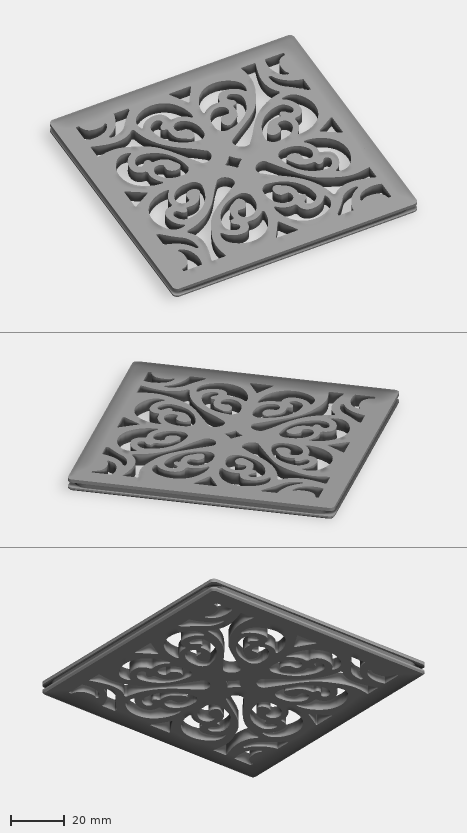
import cadquery as cq

side = 102.7
thickness = 4.8
lip_height = 1.3
corner_radius = 2.0
bottom_chamfer = 0.69
groove_depth = 1.0
groove_corner_radius = 6.4

border = 7.6
window_half = side / 2 - border
quarter_turns = (0, 90, 180, 270)

triangle_half_width = 4.8
triangle_depth = 7.8
triangle_corner_radius = 0.3
diamond_reach = 3.6
diamond_waist = 1.6


def square_slab(width, height, radius, base_z):
    """Centred square slab with rounded vertical corners."""
    slab = cq.Workplane("XY", origin=(0, 0, base_z)).rect(width, width).extrude(height)
    return slab.edges("|Z").fillet(radius)


def cutter(start, *runs):
    """Through-cutter whose outline goes from `start` along each run in turn.

    A run of one point is a straight line, of two points an arc (middle, end),
    and of more points a smooth curve through all of them.
    """
    outline = cq.Workplane("XY").moveTo(*start)
    for run in runs:
        if len(run) == 1:
            outline = outline.lineTo(*run[0])
        elif len(run) == 2:
            outline = outline.threePointArc(*run)
        else:
            outline = outline.spline(run, includeCurrent=True)
    return outline.close().extrude(thickness)


def triangle():
    """Border triangle pointing at the plate centre."""
    points = [
        (-triangle_half_width, window_half),
        (triangle_half_width, window_half),
        (0, window_half - triangle_depth),
    ]
    prism = cq.Workplane("XY").polyline(points).close().extrude(thickness)
    return prism.edges("|Z").fillet(triangle_corner_radius)


def diamond():
    """Four-pointed star with hollow sides."""
    return cutter(
        (diamond_reach, 0),
        [(diamond_waist, diamond_waist), (0, diamond_reach)],
        [(-diamond_waist, diamond_waist), (-diamond_reach, 0)],
        [(-diamond_waist, -diamond_waist), (0, -diamond_reach)],
        [(diamond_waist, -diamond_waist), (diamond_reach, 0)],
    )


def crescent():
    """Leaf arching over the scroll, with a step in its inner side."""
    outer_side = [(3.5, 34.9), (7.8, 39.8), (13.9, 41.2), (18.9, 39.7), (21.4, 37.7), (22.3, 32.3)]
    outer_tip = [(21.9, 31.8), (21.5, 32.1)]
    inner_arch = [(20.2, 33.7), (17.9, 35.2), (14.9, 35.9), (12.5, 35.3), (11.1, 33.9), (10.6, 32.2)]
    step_corner = [(10.3, 31.3), (9.6, 31.0)]
    inner_foot = [(7.2, 31.0), (4.9, 30.2), (3.1, 28.9)]
    inner_tip = [(2.5, 28.5), (2.1, 29.0)]
    return cutter((2.1, 29.0), outer_side, outer_tip, inner_arch, step_corner, inner_foot, inner_tip)


def scroll():
    """C-shaped slot with a round head at one end and a hooked tail at the other."""
    head = [(11.3, 25.6), (10.8, 27.6), (8.5, 28.8), (6.0, 28.0), (3.9, 26.1), (2.5, 20.5)]
    heel = [(2.7, 18.4), (3.9, 16.8), (6.4, 16.3)]
    back = [(9.2, 17.0), (12.7, 18.5), (16.3, 21.6), (18.6, 25.6), (19.3, 29.1)]
    tail = [(18.5, 31.4), (16.7, 32.8), (15.2, 33.1), (14.0, 32.4), (13.8, 31.1)]
    hook = [(14.3, 30.5), (15.3, 29.7), (15.8, 28.6)]
    hook_corner = [(15.7, 27.7), (15.0, 27.3)]
    ledge = [(14.6, 27.2)]
    ledge_corner = [(14.0, 27.0), (13.8, 26.5)]
    inner_back = [(13.7, 23.6), (12.6, 21.4), (10.6, 19.7), (8.6, 18.5)]
    core = [(7.4, 18.5), (6.4, 19.4), (6.0, 20.9), (6.4, 22.6), (7.8, 24.0)]
    return cutter(
        (10.5, 24.0), head, heel, back, tail, hook, hook_corner, ledge, ledge_corner,
        inner_back, core, [(10.5, 24.0)],
    )


def vine():
    """Long diagonal stem with a round bulb near the centre, flaring out to the border."""
    inner_side = [(26.5, 39.6), (26.6, 36.5), (24.7, 29.4), (21.1, 22.9), (13.9, 16.7), (5.1, 10.8)]
    bulb = [(4.5, 9.2), (5.3, 6.9), (7.9, 5.4), (10.0, 6.0)]
    outer_side = [(13.4, 10.3), (17.3, 15.8), (22.6, 21.0), (27.2, 23.5), (32.1, 25.0)]
    spur = [(32.7, 25.5), (32.5, 26.3)]
    flare = [(30.7, 28.8), (29.7, 33.4), (30.2, 38.0), (31.7, 43.3)]
    return cutter(
        (25.8, window_half), inner_side, bulb, outer_side, spur, flare,
        [(31.7, window_half)], [(25.8, window_half)],
    )


def corner_leaf():
    """Curved leaf in the corner of the window."""
    concave_side = [(41.1, 41.3), (40.0, 39.9), (39.5, 37.5), (39.7, 34.7), (40.5, 33.4)]
    tip = [(40.3, 32.8), (39.3, 33.0)]
    convex_side = [(37.1, 34.5), (35.9, 37.0), (35.3, 40.1), (36.0, window_half)]
    corner = (window_half, window_half)
    return cutter(corner, [(window_half, 42.4)], concave_side, tip, convex_side, [corner])


def edge_leaf():
    """Leaf between the corner leaf and the vine, growing from the side of the window."""
    lower_side = [(40.6, 23.5), (37.7, 26.1), (35.1, 28.0), (33.3, 31.1), (32.8, 34.1)]
    tip = [(33.3, 35.0), (34.0, 34.5)]
    upper_side = [(35.4, 32.3), (38.3, 29.8), (41.1, 28.5), (43.2, 27.8)]
    return cutter(
        (42.6, 21.7), lower_side, tip, upper_side,
        [(window_half, 27.8)], [(window_half, 21.5)], [(42.6, 21.7)],
    )


groove_height = thickness - 2 * lip_height
bottom_lip = square_slab(side, lip_height, corner_radius, 0).faces("<Z").edges().chamfer(bottom_chamfer)
groove_core = square_slab(side - 2 * groove_depth, groove_height, groove_corner_radius, lip_height)
top_lip = square_slab(side, lip_height, corner_radius, thickness - lip_height)
plate = bottom_lip.union(groove_core).union(top_lip)

quarter = [triangle(), vine(), corner_leaf(), edge_leaf()]
for opening in (crescent(), scroll()):
    quarter.append(opening)
    quarter.append(opening.mirror("YZ"))
quarter_openings = cq.Compound.makeCompound([opening.val() for opening in quarter])

plate = plate.cut(diamond())
for angle in quarter_turns:
    plate = plate.cut(cq.Workplane(quarter_openings.rotate((0, 0, 0), (0, 0, 1), angle)))

result = plate